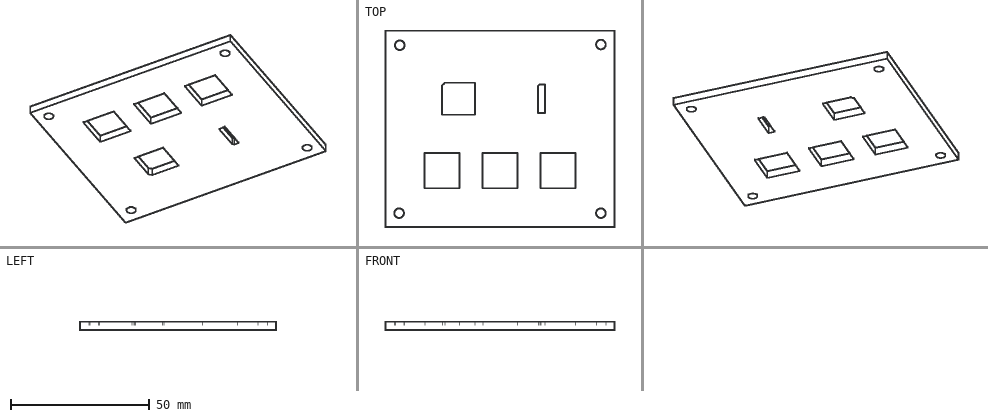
import cadquery as cq

PLATE_LENGTH = 83.0
PLATE_WIDTH = 71.0
PLATE_THICKNESS = 3.0

SCREW_HOLE_DIAMETER = 3.4
SCREW_X = 36.5
SCREW_Y = 30.5
UPPER_LEFT_INSET = 0.25
SCREW_HOLE_CENTRES = [
    (SCREW_X, SCREW_Y),
    (SCREW_X, -SCREW_Y),
    (-SCREW_X, -SCREW_Y),
    (-SCREW_X + UPPER_LEFT_INSET, SCREW_Y - UPPER_LEFT_INSET),
]

WINDOW_SIZE = 12.6
WINDOW_COUNT = 3
WINDOW_PITCH = 21.0
WINDOW_ROW_Y = -15.1

UPPER_ROW_Y = 10.9
SLOT_X = 15.0
KEYED_WINDOW_X = -SLOT_X
KEYED_WINDOW_LENGTH = 11.9
KEYED_WINDOW_WIDTH = 11.5
WINDOW_KEY_CHAMFER = 1.0
SLOT_LENGTH = 2.4
SLOT_WIDTH = 10.3
SLOT_KEY_CHAMFER = 0.5


def through_box(length, width, x, y):
    """Rectangular cutter through the full plate thickness, centred at (x, y)."""
    return (
        cq.Workplane("XY")
        .center(x, y)
        .rect(length, width)
        .extrude(PLATE_THICKNESS)
    )


def make_plate():
    return through_box(PLATE_LENGTH, PLATE_WIDTH, 0, 0)


def screw_holes():
    return (
        cq.Workplane("XY")
        .pushPoints(SCREW_HOLE_CENTRES)
        .circle(SCREW_HOLE_DIAMETER / 2)
        .extrude(PLATE_THICKNESS)
    )


def keyed_cutter(length, width, x, chamfer):
    """Cutter on the upper row with its upper-left corner cut off."""
    cutter = through_box(length, width, x, UPPER_ROW_Y)
    return cutter.edges("|Z").edges("<X").edges(">Y").chamfer(chamfer)


def window_row():
    cutters = cq.Workplane("XY")
    for index in range(WINDOW_COUNT):
        window_x = (index - (WINDOW_COUNT - 1) / 2) * WINDOW_PITCH
        cutters = cutters.add(through_box(WINDOW_SIZE, WINDOW_SIZE, window_x, WINDOW_ROW_Y))
    return cutters.combine()


keyed_window = keyed_cutter(
    KEYED_WINDOW_LENGTH, KEYED_WINDOW_WIDTH, KEYED_WINDOW_X, WINDOW_KEY_CHAMFER
)
keyed_slot = keyed_cutter(SLOT_LENGTH, SLOT_WIDTH, SLOT_X, SLOT_KEY_CHAMFER)

result = (
    make_plate()
    .cut(screw_holes())
    .cut(window_row())
    .cut(keyed_window)
    .cut(keyed_slot)
)